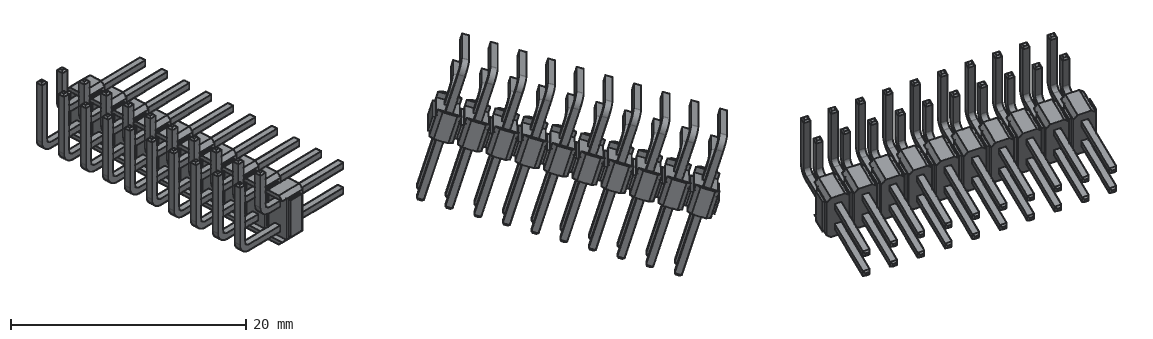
import cadquery as cq
import math


MODULE_COUNT = 10
PITCH = 2.55

BLOCK_WIDTH = 2.1
BLOCK_HEIGHT = 5.0
BLOCK_BACK = 7.0
FLANGE_DEPTH = 2.55
BODY_DEPTH = 2.0
CORNER_CHAMFER = 0.4

WEB_HEIGHT = 3.8
WEB_DEPTH = 1.35
WEB_SETBACK = 0.38

PIN_SIZE = 0.64
PIN_REAR = 13.03
PIN_TOP = 8.0
BEND_INNER_RADIUS = 0.48
TIP_LENGTH = 0.18
TIP_SIZE = 0.33

BEND_OUTER_RADIUS = BEND_INNER_RADIUS + PIN_SIZE
BLOCK_MIDDLE = BLOCK_HEIGHT / 2
WEB_BACK = BLOCK_BACK - WEB_SETBACK


def box_between(width, y_range, z_range):
    """Box centred on X = 0 that spans the given Y and Z ranges."""
    y_min, y_max = y_range
    z_min, z_max = z_range
    return cq.Workplane("XY").box(width, y_max - y_min, z_max - z_min).translate(
        (0, (y_min + y_max) / 2, (z_min + z_max) / 2)
    )


def make_insulator():
    """Chamfered block, relieved at the front between its caps, with its side web."""
    block = box_between(BLOCK_WIDTH, (BLOCK_BACK - FLANGE_DEPTH, BLOCK_BACK), (0, BLOCK_HEIGHT))
    block = block.edges("|Y").chamfer(CORNER_CHAMFER)
    relief = box_between(
        BLOCK_WIDTH,
        (BLOCK_BACK - FLANGE_DEPTH, BLOCK_BACK - BODY_DEPTH),
        (CORNER_CHAMFER, BLOCK_HEIGHT - CORNER_CHAMFER),
    )
    web = box_between(
        PITCH,
        (WEB_BACK - WEB_DEPTH, WEB_BACK),
        (BLOCK_MIDDLE - WEB_HEIGHT / 2, BLOCK_MIDDLE + WEB_HEIGHT / 2),
    )
    return block.cut(relief).union(web)


def make_tip(base_center, direction):
    """Square frustum that tapers from the pin section along the given direction."""
    base = cq.Plane(origin=base_center, xDir=(1, 0, 0), normal=direction)
    return (
        cq.Workplane(base)
        .rect(PIN_SIZE, PIN_SIZE)
        .workplane(offset=TIP_LENGTH)
        .rect(TIP_SIZE, TIP_SIZE)
        .loft(ruled=True)
    )


def make_pin(leg_front, row_height):
    """Bent pin whose leg has its outer face at Y = leg_front, its row centred at row_height."""
    leg_back = leg_front + PIN_SIZE
    row_bottom = row_height - PIN_SIZE / 2
    row_top = row_height + PIN_SIZE / 2
    rear_shoulder = PIN_REAR - TIP_LENGTH
    top_shoulder = PIN_TOP - TIP_LENGTH

    center_y = leg_front + BEND_OUTER_RADIUS
    center_z = row_bottom + BEND_OUTER_RADIUS
    outer_diagonal = BEND_OUTER_RADIUS * math.sqrt(0.5)
    inner_diagonal = BEND_INNER_RADIUS * math.sqrt(0.5)

    shank = (
        cq.Workplane("YZ")
        .moveTo(rear_shoulder, row_bottom)
        .lineTo(center_y, row_bottom)
        .threePointArc((center_y - outer_diagonal, center_z - outer_diagonal), (leg_front, center_z))
        .lineTo(leg_front, top_shoulder)
        .lineTo(leg_back, top_shoulder)
        .lineTo(leg_back, center_z)
        .threePointArc((center_y - inner_diagonal, center_z - inner_diagonal), (center_y, row_top))
        .lineTo(rear_shoulder, row_top)
        .close()
        .extrude(PIN_SIZE / 2, both=True)
    )
    rear_tip = make_tip((0, rear_shoulder, row_height), (0, 1, 0))
    top_tip = make_tip((0, leg_front + PIN_SIZE / 2, top_shoulder), (0, 0, 1))
    return shank.union(rear_tip).union(top_tip)


def make_module():
    """One header position: insulator segment with its lower and upper pins."""
    lower_pin = make_pin(0, BLOCK_MIDDLE - PITCH / 2)
    upper_pin = make_pin(PITCH, BLOCK_MIDDLE + PITCH / 2)
    return make_insulator().union(lower_pin).union(upper_pin)


module = make_module()
modules = []
for index in range(MODULE_COUNT):
    x_offset = (index - (MODULE_COUNT - 1) / 2) * PITCH
    modules.append(module.translate((x_offset, 0, 0)).val())

result = cq.Compound.makeCompound(modules)